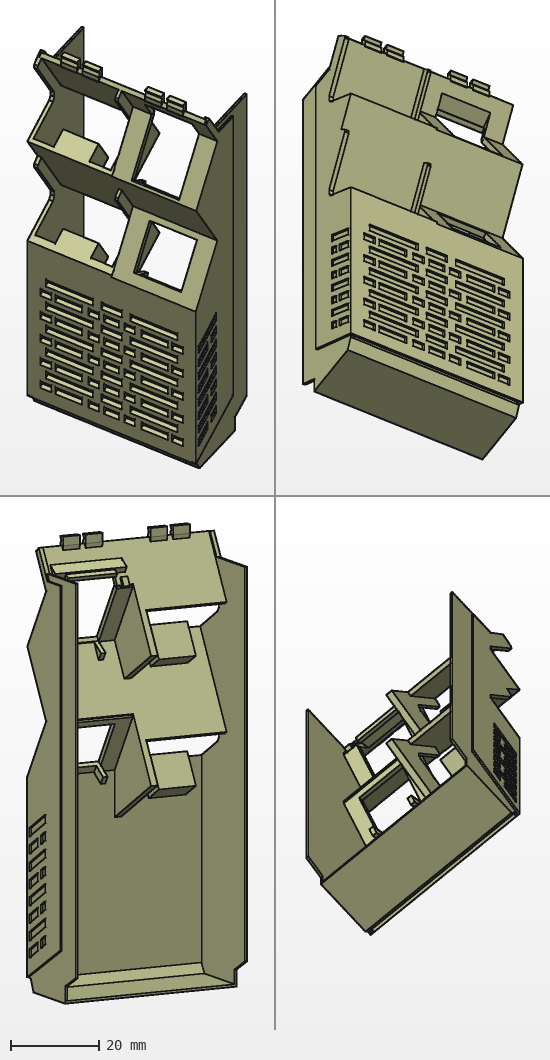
import cadquery as cq
import math

HALF_WIDTH = 45.0 / 2
DEPTH = 22.8
HEIGHT = 105.5

COVER_SIDE = 0.47
LINER_SIDE = 0.58
COVER_FRONT = 1.0
LINER_FRONT = 0.7
FLOOR = 0.6
LINER_HALF_WIDTH = HALF_WIDTH - COVER_SIDE
INNER_HALF_WIDTH = LINER_HALF_WIDTH - LINER_SIDE
DIVIDER_HALF_WIDTH = 0.8

LIP_Z = 50.0
BAY_PITCH = 30.1
LIPS = [LIP_Z, LIP_Z + BAY_PITCH]
PANEL_ANGLE = 60
SHELF_ANGLE = 30
PLATE_ANGLE = 57.4
PANEL_SLOPE = math.tan(math.radians(PANEL_ANGLE))
SHELF_SLOPE = math.tan(math.radians(SHELF_ANGLE))
PLATE_SLOPE = math.tan(math.radians(PLATE_ANGLE))
PANEL_RUN = -PANEL_ANGLE
PLATE_RUN = PLATE_ANGLE - 180
PANEL_THICKNESS = 1.2
PANEL_BACK_SHIFT = PANEL_THICKNESS / math.sin(math.radians(PANEL_ANGLE))
PANEL_TOP_Y = 4.4
PANEL_TOP_RISE = 0.4
PANEL_OVERRUN = 0.3
PANEL_END_Y = 12.9

PLATE_THICKNESS = 1.4
PLATE_DROP = 0.6
JUNCTION_Y = (BAY_PITCH + PLATE_DROP) / (PANEL_SLOPE + PLATE_SLOPE)
WINDOW_CENTER_X = 11.3
WINDOW_HALF_WIDTH = 6.3
WINDOW_SPANS = [(3.0, 15.6), (1.1, 20.0)]
WINDOW_REACH = 6.3
HOOD_HALF_WIDTH = 9.2
HOOD_WALL = 1.0
HOOD_LENGTH = 5.3
HOOD_BACK = -1.6
HOOK_WIDTH = 1.6
HOOK_THICKNESS = 0.6
HOOK_TOP_Y = 8.8
HOOK_END_Y = 9.9
BAR_HEIGHT = 0.6
BAR_BACK = -0.3
LEDGE_WIDTH = 1.2
LEDGE_HEIGHT = 2.1
LEDGE_DEPTH = 5.3

TAB_CENTER_X = -11.3
TAB_HALF_WIDTH = 4.7
TAB_DEPTH = 5.8
TAB_LENGTH = 8.4

FLANGE_SHOULDER_Y = 4.4
FLANGE_SHOULDER_DROP = FLANGE_SHOULDER_Y * PANEL_SLOPE
FLANGE_NOSE = (3.0, 9.0)
FLANGE_TIP = (2.8, 9.8)
FLANGE_BACK_Y = 10.0
FLANGE_BACK_HEIGHT = 1.4
FLANGE_SHELF_Y = 9.4
DIVIDER_BACK_Y = 19.4
DIVIDER_FOOT_Y = [COVER_FRONT, 5.8]

COVER_BACK_Y = 16.1
COVER_TOP_Z = 96.4
COVER_STEP_Y = 10.0
COVER_BACK_BOTTOM_Z = 12.0
COVER_BOTTOM_Z = 3.2
LINER_TOP_Z = 98.0
LINER_STEP_Y = 9.1
CREST = (5.8, 103.5)
FOOT_TOP_Z = 3.0
FOOT_FRONT_Y = 2.3
FOOT_BACK_Y = 17.7
FOOT_BACK_TOP_Z = 4.0
LINER_BACK_Z = 6.8

LATCH_CENTERS = [8.3, 14.1]
LATCH_HALF_WIDTH = 4.3 / 2
LATCH_BACK_Y = 5.9
LATCH_FRONT_Y = 4.4
LATCH_BASE_Z = 101.8
LATCH_NOTCH_Z = [103.7, 104.5, 105.4]
LATCH_NOTCH_DEPTH = 0.5

VENT_HEIGHT = 2.0
FRONT_VENT_TOP_Z = 39.5
FRONT_VENT_PITCH = 3.5
FRONT_VENT_ROWS = 10
LONG_ROW = [(-2.7, 2.7), (5.0, 17.6), (-17.6, -5.0)]
SHORT_ROW = [(-2.0, 2.0)]
for inner, outer in [(3.4, 6.2), (7.9, 15.1), (16.1, 19.1)]:
    SHORT_ROW += [(inner, outer), (-outer, -inner)]
SIDE_VENT_Z = 36.9
SIDE_VENT_PITCH = 4.0
SIDE_VENT_ROWS = 8
SIDE_VENT_FRONT_Y = 1.3
SIDE_VENT_BACK_Y = 8.9
SIDE_VENT_GAP = (5.3, 6.8)


def slab(points, x_start, x_end):
    """Extrude a (y, z) outline from x_start to x_end."""
    outline = cq.Workplane("YZ").workplane(offset=x_start).polyline(points).close()
    return outline.extrude(x_end - x_start)


def sloped_block(start, run_angle, length, front, rear, x_start, x_end):
    """Block running down a slope from a (y, z) point, between two depths behind it."""
    turn = math.radians(run_angle)

    def place(along, behind):
        y = start[0] + along * math.cos(turn) - behind * math.sin(turn)
        z = start[1] + along * math.sin(turn) + behind * math.cos(turn)
        return (y, z)

    corners = [place(0, front), place(length, front), place(length, rear), place(0, rear)]
    return slab(corners, x_start, x_end)


def panel_z(lip, y):
    """Height of the front of the panel that falls from a lip."""
    return lip - y * PANEL_SLOPE


def plate_point(lip, along):
    """Point on the front of a window plate, measured up from its foot."""
    turn = math.radians(PLATE_ANGLE)
    return (along * math.cos(turn), lip - PLATE_DROP + along * math.sin(turn))


def flange_outline(lip):
    """Front edge of a bay's flange, from its shoulder down to the lip of the bay."""
    upper_lip = lip + BAY_PITCH
    shoulder = (FLANGE_SHOULDER_Y, FLANGE_SHOULDER_DROP)
    points = [(y, upper_lip - drop) for y, drop in (shoulder, FLANGE_NOSE, FLANGE_TIP)]
    back_z = points[-1][1] - (FLANGE_BACK_Y - FLANGE_TIP[0]) * PANEL_SLOPE
    points.append((FLANGE_BACK_Y, back_z))
    points.append((FLANGE_BACK_Y, back_z - FLANGE_BACK_HEIGHT))
    points.append((FLANGE_SHELF_Y, lip + FLANGE_SHELF_Y * SHELF_SLOPE))
    points.append((0, lip))
    return points


def plate_outline(lip):
    """Front edge of a right bay, from its panel's top down to the lip of the bay."""
    upper_lip = lip + BAY_PITCH
    return [
        (FLANGE_SHOULDER_Y, upper_lip - FLANGE_SHOULDER_DROP),
        (JUNCTION_Y, panel_z(upper_lip, JUNCTION_Y)),
        (0, lip - PLATE_DROP),
    ]


def side_wall(bay_outline):
    """Cover and liner sheets on the +X side, with the given front edge at each bay."""
    front_edge = [CREST] + bay_outline(LIPS[1]) + bay_outline(LIPS[0]) + [(0, COVER_BOTTOM_Z)]
    cover = front_edge + [
        (COVER_BACK_Y, COVER_BACK_BOTTOM_Z),
        (COVER_BACK_Y, COVER_TOP_Z),
        (COVER_STEP_Y, COVER_TOP_Z),
        (LINER_STEP_Y, LINER_TOP_Z),
    ]
    liner = front_edge + [
        (COVER_FRONT, FOOT_TOP_Z),
        (FOOT_FRONT_Y, 0),
        (FOOT_BACK_Y, 0),
        (FOOT_BACK_Y, FOOT_BACK_TOP_Z),
        (DEPTH, LINER_BACK_Z),
        (DEPTH, LINER_TOP_Z),
        (LINER_STEP_Y, LINER_TOP_Z),
    ]
    wall = slab(cover, LINER_HALF_WIDTH, HALF_WIDTH)
    return wall.union(slab(liner, INNER_HALF_WIDTH, LINER_HALF_WIDTH))


def front_wall():
    """Cover front, liner front and the floor of the foot."""
    cover = [
        (0, LIP_Z),
        (0, COVER_BOTTOM_Z),
        (COVER_FRONT, COVER_BOTTOM_Z + COVER_FRONT * SHELF_SLOPE),
        (COVER_FRONT, LIP_Z + COVER_FRONT * SHELF_SLOPE),
    ]
    inner_y = COVER_FRONT + LINER_FRONT
    liner = [
        (COVER_FRONT, LIP_Z + COVER_FRONT * SHELF_SLOPE),
        (COVER_FRONT, FOOT_TOP_Z),
        (FOOT_FRONT_Y, 0),
        (FOOT_BACK_Y, 0),
        (FOOT_BACK_Y, FLOOR),
        (FOOT_FRONT_Y + LINER_FRONT, FLOOR),
        (inner_y, FOOT_TOP_Z),
        (inner_y, LIP_Z + inner_y * SHELF_SLOPE),
    ]
    wall = slab(cover, -HALF_WIDTH, HALF_WIDTH)
    return wall.union(slab(liner, -LINER_HALF_WIDTH, LINER_HALF_WIDTH))


def panel(lip, start_y, end_y, x_start, x_end):
    """Sloped panel below a lip, its ends square to its faces."""
    length = (end_y - start_y) / math.cos(math.radians(PANEL_ANGLE))
    start = (start_y, panel_z(lip, start_y))
    return sloped_block(start, PANEL_RUN, length, 0, PANEL_THICKNESS, x_start, x_end)


def divider(lip, foot_y):
    """Wall between left and right bays, reaching far behind the panel, with its flange at the left."""
    upper_lip = lip + BAY_PITCH
    corner_z = panel_z(upper_lip, DIVIDER_BACK_Y - PANEL_BACK_SHIFT)
    rear = [
        (foot_y, corner_z - (DIVIDER_BACK_Y - foot_y) * SHELF_SLOPE),
        (DIVIDER_BACK_Y, corner_z),
        (FLANGE_SHOULDER_Y + PANEL_BACK_SHIFT, upper_lip - FLANGE_SHOULDER_DROP),
    ]
    left = slab(flange_outline(lip) + rear, -DIVIDER_HALF_WIDTH, 0)
    return left.union(slab(plate_outline(lip) + rear, 0, DIVIDER_HALF_WIDTH))


def open_bay(lip, panel_top_y):
    """Left bay: the panel above an opening."""
    return panel(lip + BAY_PITCH, panel_top_y, PANEL_END_Y, -LINER_HALF_WIDTH, 0)


def window_bay(lip, panel_top_y, window_span):
    """Right bay: panel and window plate meeting at a ridge, pierced square to the plate."""
    ridge = (JUNCTION_Y, panel_z(lip + BAY_PITCH, JUNCTION_Y))
    plate_length = JUNCTION_Y / math.cos(math.radians(PLATE_ANGLE))
    bay = panel(lip + BAY_PITCH, panel_top_y, JUNCTION_Y + PANEL_OVERRUN, 0, LINER_HALF_WIDTH)
    plate = sloped_block(ridge, PLATE_RUN, plate_length, 0, PLATE_THICKNESS, 0, LINER_HALF_WIDTH)
    bay = bay.union(plate)

    bottom, top = window_span
    left = WINDOW_CENTER_X - WINDOW_HALF_WIDTH
    right = WINDOW_CENTER_X + WINDOW_HALF_WIDTH
    reaches_panel = top > plate_length
    if reaches_panel:
        bay = bay.union(window_hood(lip, top + HOOD_WALL))
    opening = sloped_block(
        plate_point(lip, top), PLATE_RUN, top - bottom, -WINDOW_REACH, WINDOW_REACH, left, right
    )
    bay = bay.cut(opening)
    if reaches_panel:
        height = BAR_HEIGHT + HOOD_WALL / 2
        start = plate_point(lip, top + HOOD_WALL / 2)
        bay = bay.union(sloped_block(start, PLATE_RUN, height, HOOD_BACK, BAR_BACK, left, right))
    for x in (left, right - LEDGE_WIDTH):
        start = plate_point(lip, bottom)
        bay = bay.union(
            sloped_block(start, PLATE_RUN, LEDGE_HEIGHT, 0, LEDGE_DEPTH, x, x + LEDGE_WIDTH)
        )
    return bay


def window_hood(lip, top):
    """Raised surround and two hooks on the back of a panel that a window runs into."""
    left = WINDOW_CENTER_X - HOOD_HALF_WIDTH
    right = WINDOW_CENTER_X + HOOD_HALF_WIDTH
    hood = sloped_block(
        plate_point(lip, top), PLATE_RUN, HOOD_LENGTH, -WINDOW_REACH, HOOD_BACK, left, right
    )
    upper_lip = lip + BAY_PITCH
    start = (HOOK_TOP_Y, panel_z(upper_lip, HOOK_TOP_Y))
    length = (HOOK_END_Y - HOOK_TOP_Y) / math.cos(math.radians(PANEL_ANGLE))
    rear = PANEL_THICKNESS + HOOK_THICKNESS
    for x in (left, right - HOOK_WIDTH):
        hood = hood.union(sloped_block(start, PANEL_RUN, length, 0, rear, x, x + HOOK_WIDTH))
    return hood


def right_clearance(lip):
    """Empty space in front of a right bay's panel and window plate."""
    ahead = -1.1
    outline = [
        (ahead, lip - PLATE_DROP + ahead * PLATE_SLOPE),
        (JUNCTION_Y, panel_z(lip + BAY_PITCH, JUNCTION_Y)),
        (ahead, panel_z(lip + BAY_PITCH, ahead)),
    ]
    return slab(outline, 0, HALF_WIDTH)


def tab(lip):
    """Block on the back of the panel below a lip, its top end square to the panel."""
    return sloped_block(
        (0, lip), PANEL_RUN, TAB_LENGTH, 0, TAB_DEPTH,
        TAB_CENTER_X - TAB_HALF_WIDTH, TAB_CENTER_X + TAB_HALF_WIDTH,
    )


def top_edge():
    """Raised rear of the upper panel's top edge."""
    upper_lip = LIPS[1] + BAY_PITCH
    start = (PANEL_TOP_Y, panel_z(upper_lip, PANEL_TOP_Y))
    rear_y = PANEL_TOP_Y + PANEL_THICKNESS * math.sin(math.radians(PANEL_ANGLE))
    rear = (rear_y, start[1] + PANEL_THICKNESS * math.cos(math.radians(PANEL_ANGLE)))
    crest = (
        rear[0] - PANEL_TOP_RISE * math.cos(math.radians(PANEL_ANGLE)),
        rear[1] + PANEL_TOP_RISE * math.sin(math.radians(PANEL_ANGLE)),
    )
    return slab([start, rear, crest], -LINER_HALF_WIDTH, LINER_HALF_WIDTH)


def latch(center_x):
    """Upright latch with a V notch across its front."""
    low, middle, high = LATCH_NOTCH_Z
    notch_y = LATCH_FRONT_Y + LATCH_NOTCH_DEPTH
    outline = [
        (LATCH_FRONT_Y + PANEL_BACK_SHIFT, LATCH_BASE_Z),
        (LATCH_BACK_Y, CREST[1]),
        (LATCH_BACK_Y, HEIGHT),
        (LATCH_FRONT_Y, HEIGHT),
        (LATCH_FRONT_Y, high),
        (notch_y, middle),
        (LATCH_FRONT_Y, low),
        (LATCH_FRONT_Y, LATCH_BASE_Z + PANEL_TOP_RISE),
    ]
    return slab(outline, center_x - LATCH_HALF_WIDTH, center_x + LATCH_HALF_WIDTH)


def vent_outline(front_z, front_y, back_y):
    """Sloped slot rising to the rear, front_z being its mid-height at front_y."""
    rise = (back_y - front_y) * SHELF_SLOPE
    return [
        (front_y, front_z - VENT_HEIGHT / 2),
        (front_y, front_z + VENT_HEIGHT / 2),
        (back_y, front_z + VENT_HEIGHT / 2 + rise),
        (back_y, front_z - VENT_HEIGHT / 2 + rise),
    ]


def front_vents():
    """Alternating rows of slots through the cover's front."""
    slots = []
    for row in range(FRONT_VENT_ROWS):
        outline = vent_outline(FRONT_VENT_TOP_Z - row * FRONT_VENT_PITCH, 0, COVER_FRONT)
        spans = LONG_ROW if row % 2 == 0 else SHORT_ROW
        for x_start, x_end in spans:
            slots.append(slab(outline, x_start, x_end))
    return slots


def side_vents():
    """Slanted slots through both sides of the cover, every second one bridged."""
    slots = []
    whole = [(SIDE_VENT_FRONT_Y, SIDE_VENT_BACK_Y)]
    bridged = [(SIDE_VENT_FRONT_Y, SIDE_VENT_GAP[0]), (SIDE_VENT_GAP[1], SIDE_VENT_BACK_Y)]
    for row in range(SIDE_VENT_ROWS):
        row_z = SIDE_VENT_Z - row * SIDE_VENT_PITCH
        for front_y, back_y in whole if row % 2 == 0 else bridged:
            z = row_z + (front_y - SIDE_VENT_FRONT_Y) * SHELF_SLOPE
            outline = vent_outline(z, front_y, back_y)
            slots.append(slab(outline, LINER_HALF_WIDTH, HALF_WIDTH))
            slots.append(slab(outline, -HALF_WIDTH, -LINER_HALF_WIDTH))
    return slots


part = side_wall(plate_outline).union(side_wall(flange_outline).mirror("YZ"))
part = part.union(front_wall())
for lip, foot_y, panel_top_y, window_span in zip(LIPS, DIVIDER_FOOT_Y, (0, PANEL_TOP_Y), WINDOW_SPANS):
    part = part.union(divider(lip, foot_y))
    part = part.union(open_bay(lip, panel_top_y))
    part = part.union(window_bay(lip, panel_top_y, window_span))
    part = part.union(tab(lip))
part = part.union(top_edge())
for lip in LIPS:
    part = part.cut(right_clearance(lip))
for center in LATCH_CENTERS:
    part = part.union(latch(center)).union(latch(-center))
slots = [slot.val() for slot in front_vents() + side_vents()]
result = part.cut(cq.Workplane(cq.Compound.makeCompound(slots)))